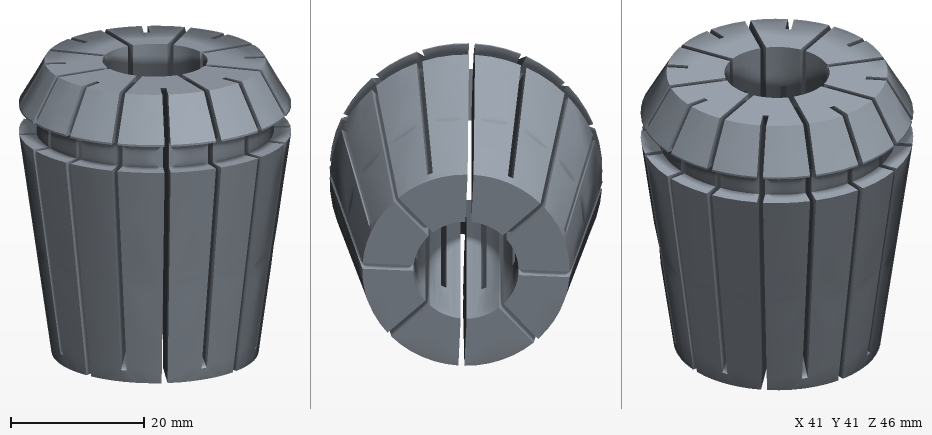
import cadquery as cq
import math

LENGTH = 46.0
MAX_RADIUS = 20.5
BORE_RADIUS = 7.9
TAPER_ANGLE = 8.0
NOSE_ANGLE = 30.0

GROOVE_BOTTOM = 34.9
GROOVE_TOP = 39.0
GROOVE_RADIUS = 17.9
RIM_HEIGHT = 0.3

SLOTS_PER_SET = 8
SLOT_PITCH = 360.0 / SLOTS_PER_SET
SLOT_WIDTH = 0.9
SAW_RADIUS = 40.0
SLOT_END_RADIUS = 15.85
TOP_SLOT_OUTER_Z = 1.9
TOP_SLOT_BORE_Z = 10.65
BOTTOM_SLOT_BORE_Z = 39.35
CLEARANCE = 5.0


def collet_body():
    """Turned body: taper, groove, rim and nose cone around a plain bore."""
    taper_end_radius = MAX_RADIUS - GROOVE_BOTTOM * math.tan(math.radians(TAPER_ANGLE))
    rim_top = GROOVE_TOP + RIM_HEIGHT
    nose_radius = MAX_RADIUS - (LENGTH - rim_top) * math.tan(math.radians(NOSE_ANGLE))
    profile = [
        (BORE_RADIUS, 0),
        (taper_end_radius, 0),
        (MAX_RADIUS, GROOVE_BOTTOM),
        (GROOVE_RADIUS, GROOVE_BOTTOM),
        (GROOVE_RADIUS, GROOVE_TOP),
        (MAX_RADIUS, GROOVE_TOP),
        (MAX_RADIUS, rim_top),
        (nose_radius, LENGTH),
        (BORE_RADIUS, LENGTH),
    ]
    return cq.Workplane("XZ").polyline(profile).close().revolve(360, (0, 0, 0), (0, 1, 0))


def saw_center():
    """Center (radius, height) of the arc along the floor of a top slot."""
    run = SLOT_END_RADIUS - BORE_RADIUS
    rise = TOP_SLOT_BORE_Z - TOP_SLOT_OUTER_Z
    chord = math.hypot(run, rise)
    offset = math.sqrt(SAW_RADIUS**2 - (chord / 2) ** 2)
    mid_radius = (BORE_RADIUS + SLOT_END_RADIUS) / 2
    mid_z = (TOP_SLOT_BORE_Z + TOP_SLOT_OUTER_Z) / 2
    return mid_radius + offset * rise / chord, mid_z + offset * run / chord


def top_slot_cutter():
    """Blade along +X with an arc floor that drops from the bore to the outside."""
    center_radius, center_z = saw_center()

    def floor_point(radius):
        return radius, center_z - math.sqrt(SAW_RADIUS**2 - (radius - center_radius) ** 2)

    inner = BORE_RADIUS - CLEARANCE
    outer = MAX_RADIUS + CLEARANCE
    blade_top = LENGTH + CLEARANCE
    return (
        cq.Workplane("XZ")
        .moveTo(inner, blade_top)
        .lineTo(*floor_point(inner))
        .threePointArc(floor_point((inner + outer) / 2), floor_point(outer))
        .lineTo(outer, blade_top)
        .close()
        .extrude(SLOT_WIDTH / 2, both=True)
    )


def bottom_slot_cutter():
    """The top slot blade turned upside down, with its roof set at the bore."""
    return top_slot_cutter().mirror("XY").translate((0, 0, TOP_SLOT_BORE_Z + BOTTOM_SLOT_BORE_Z))


def cut_slot_set(body, cutter, start_angle):
    """Cut one evenly spaced set of slots around the Z axis."""
    for index in range(SLOTS_PER_SET):
        angle = start_angle + index * SLOT_PITCH
        body = body.cut(cutter.rotate((0, 0, 0), (0, 0, 1), angle))
    return body


result = collet_body()
result = cut_slot_set(result, top_slot_cutter(), 0)
result = cut_slot_set(result, bottom_slot_cutter(), SLOT_PITCH / 2)